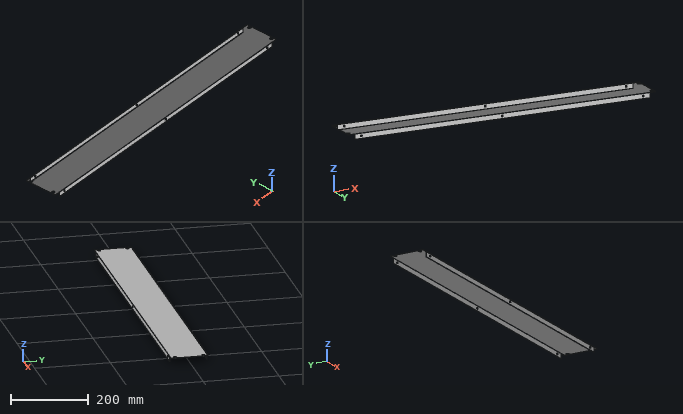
import cadquery as cq

length = 886.5
width = 99.0
height = 15.0
sheet = 1.0

flange_setback = 18.0
plate_inset = 0.2
flange_length = length - 2 * flange_setback

slot_depth = 11.0
slot_width = 7.0
slot_edge_distance = 12.0
corner_radius = 4.0

hole_diameter = 4.2
hole_spacing = 406.0


def top_plate():
    """Flat plate with rounded corners, its top face at Z = 0."""
    plate_width = width - 2 * plate_inset
    plate = cq.Workplane("XY").box(length, plate_width, sheet, centered=(True, True, False))
    return plate.edges("|Z").fillet(corner_radius).translate((0, 0, -sheet))


def flange(side):
    """Lip hanging from the long edge on the given Y side (-1 or 1)."""
    center_y = side * (width - sheet) / 2
    return cq.Workplane("XY").box(flange_length, sheet, height).translate((0, center_y, -height / 2))


def end_slots():
    """Cutters for the four round-ended slots, centred on the plate ends."""
    slot_y = width / 2 - slot_edge_distance
    centers = [(x, y) for x in (-length / 2, length / 2) for y in (-slot_y, slot_y)]
    return cq.Workplane("XY").pushPoints(centers).slot2D(2 * slot_depth, slot_width).extrude(-sheet)


def flange_holes():
    """Cutters for the hole row, passing through both flanges at mid-height."""
    centers = [(i * hole_spacing, -height / 2) for i in (-1, 0, 1)]
    return cq.Workplane("XZ").pushPoints(centers).circle(hole_diameter / 2).extrude(width / 2, both=True)


result = top_plate()
for side in (-1, 1):
    result = result.union(flange(side))
result = result.cut(end_slots()).cut(flange_holes())